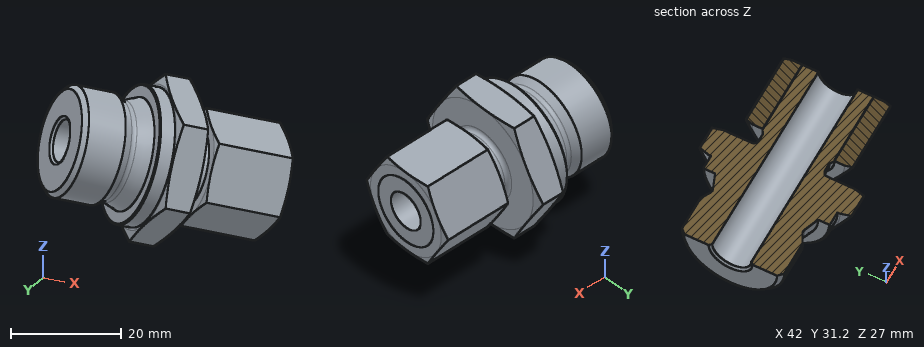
import cadquery as cq
import math


thread_end = 8.3
collar_start = 14.03
body_hex_start = 17.0
body_hex_end = 23.0
flare_start = 25.55
nut_start = 26.45
overall_length = 42.0

thread_radius = 10.5
groove_radius = 9.35
collar_radius = 13.0
neck_radius = 6.85
spigot_radius = 7.4
bore_radius = 4.0

body_across_flats = 27.0
nut_across_flats = 19.0
hex_chamfer_angle = math.radians(15)

thread_chamfer = 0.95
bore_chamfer = 0.5
collar_chamfer = 0.2
neck_fillet = 0.9

groove_fillet = 1.2
flank_angle = math.radians(30)
cone_angle = math.radians(21)


def revolve_about_x(profile):
    """Turn a closed XY profile a full revolution about the X axis."""
    return profile.close().revolve(360, (0, 0, 0), (1, 0, 0))


def cylinder_along_x(radius, start, end):
    return cq.Workplane("YZ", origin=(start, 0, 0)).circle(radius).extrude(end - start)


def chamfered_hexagon(across_flats, start, end):
    """Hexagon bar with corners on Y, both ends coned off from the inscribed circle."""
    flat_radius = across_flats / 2
    corner_radius = flat_radius / math.cos(math.pi / 6)
    chamfer_length = (corner_radius - flat_radius) * math.tan(hex_chamfer_angle)
    bar = (
        cq.Workplane("YZ", origin=(start, 0, 0))
        .polygon(6, 2 * corner_radius)
        .extrude(end - start)
    )
    envelope = revolve_about_x(
        cq.Workplane("XY")
        .moveTo(start, 0)
        .lineTo(start, flat_radius)
        .lineTo(start + chamfer_length, corner_radius)
        .lineTo(end - chamfer_length, corner_radius)
        .lineTo(end, flat_radius)
        .lineTo(end, 0)
    )
    return bar.intersect(envelope)


def threaded_stud():
    """Thread cylinder, undercut groove and round collar."""
    flank_foot_radius = groove_radius + groove_fillet * (1 - math.cos(flank_angle))
    flank_foot = thread_end + (thread_radius - flank_foot_radius) / math.tan(flank_angle)
    groove_bottom = flank_foot + groove_fillet * math.sin(flank_angle)
    arc_center_radius = groove_radius + groove_fillet

    def on_groove_arc(angle):
        """Point on the groove arc, at an angle from its lowest point towards +X."""
        return (
            groove_bottom + groove_fillet * math.sin(angle),
            arc_center_radius - groove_fillet * math.cos(angle),
        )

    cone_foot, cone_foot_radius = on_groove_arc(cone_angle)
    cone_top_radius = cone_foot_radius + (collar_start - cone_foot) * math.tan(cone_angle)

    return revolve_about_x(
        cq.Workplane("XY")
        .moveTo(0, 0)
        .lineTo(0, thread_radius - thread_chamfer)
        .lineTo(thread_chamfer, thread_radius)
        .lineTo(thread_end, thread_radius)
        .lineTo(flank_foot, flank_foot_radius)
        .threePointArc(on_groove_arc(0), (cone_foot, cone_foot_radius))
        .lineTo(collar_start, cone_top_radius)
        .lineTo(collar_start, collar_radius - collar_chamfer)
        .lineTo(collar_start + collar_chamfer, collar_radius)
        .lineTo(body_hex_start, collar_radius)
        .lineTo(body_hex_start, 0)
    )


def neck_and_spigot():
    """Filleted neck behind the hexagon, flaring out to the spigot inside the nut."""
    fillet_end = body_hex_end + neck_fillet
    fillet_center_radius = neck_radius + neck_fillet
    fillet_middle = (
        fillet_end - neck_fillet * math.sin(math.pi / 4),
        fillet_center_radius - neck_fillet * math.cos(math.pi / 4),
    )
    return revolve_about_x(
        cq.Workplane("XY")
        .moveTo(body_hex_end, 0)
        .lineTo(body_hex_end, fillet_center_radius)
        .threePointArc(fillet_middle, (fillet_end, neck_radius))
        .lineTo(flare_start, neck_radius)
        .lineTo(nut_start, spigot_radius)
        .lineTo(overall_length, spigot_radius)
        .lineTo(overall_length, 0)
    )


def through_bore():
    """Bore along the whole body, chamfered at the threaded end."""
    entry = revolve_about_x(
        cq.Workplane("XY")
        .moveTo(0, 0)
        .lineTo(0, bore_radius + bore_chamfer)
        .lineTo(bore_chamfer, bore_radius)
        .lineTo(bore_chamfer, 0)
    )
    return cylinder_along_x(bore_radius, 0, overall_length).union(entry)


def make_stud_body():
    hexagon = chamfered_hexagon(body_across_flats, body_hex_start, body_hex_end)
    return threaded_stud().union(hexagon).union(neck_and_spigot()).cut(through_bore())


def make_nut():
    """Hexagon nut whose hole fits the body's spigot."""
    hexagon = chamfered_hexagon(nut_across_flats, nut_start, overall_length)
    return hexagon.cut(cylinder_along_x(spigot_radius, nut_start, overall_length))


stud_body = make_stud_body()
nut = make_nut()

result = cq.Compound.makeCompound([stud_body.val(), nut.val()])